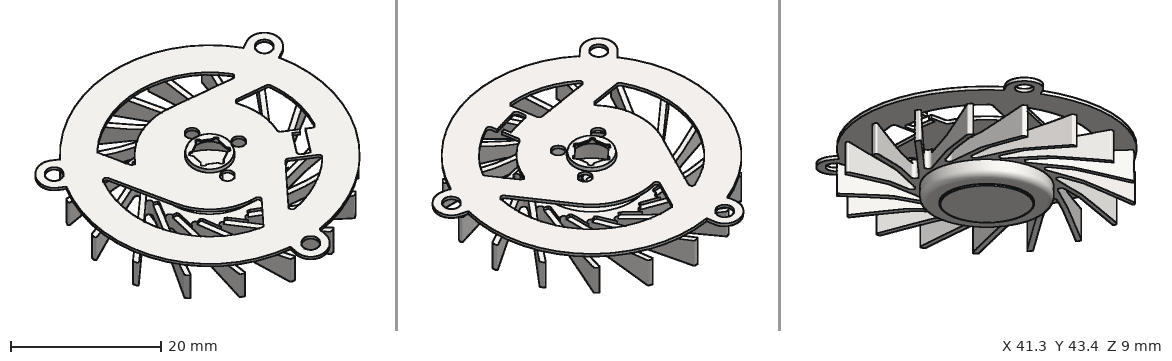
import cadquery as cq
import math

PLATE_RADIUS = 19.95
PLATE_BOTTOM = 7.9
PLATE_THICKNESS = 0.5
PLATE_TOP = PLATE_BOTTOM + PLATE_THICKNESS

EAR_CENTER_RADIUS = 20.98
EAR_RADIUS = 2.5
EAR_HOLE_RADIUS = 1.25
EAR_ANGLES = (90, 210, 330)

SLOT_OUTER_RADIUS = 15.0
DISC_RADIUS = 10.0
ARM_WIDTH = 3.47
ARM_INNER_OFFSET = DISC_RADIUS - ARM_WIDTH
ARM_ANGLE = 53
ARM_STEP = 120
SLOT_CORNER_RADIUS = 0.48

BRIDGE_ANGLE = 30
BRIDGE_WIDTH = 5.0
BRIDGE_BAR = 0.5
WINDOW_INNER = 11.45
WINDOW_OUTER = 13.35
WINDOW_CORNER_RADIUS = 0.48
GAP_INNER = 12.55

CAP_TOP = 9.0
CAP_BASE_RADIUS = 3.35
CAP_FACE_RADIUS = 3.2
CAP_POCKET_RADIUS = 2.82
CAP_FACE_THICKNESS = 0.3
HEX_APOTHEM = 2.2
HEX_RELIEF_CENTER_RADIUS = 2.4
HEX_RELIEF_RADIUS = 0.4
HEX_CORNER_ANGLES = range(30, 390, 60)

FIXING_HOLE_RADIUS = 1.0
FIXING_HOLE_CENTER_RADIUS = 4.5
FIXING_HOLE_ANGLES = (-38.4, 51.6, 141.6)

HUB_RADIUS = 8.9
HUB_INNER_RADIUS = 8.0
HUB_BOTTOM = 0.2
HUB_TOP = 5.35
HUB_FLOOR_TOP = 0.8
HUB_EDGE_RADIUS = 0.95
PAD_RADIUS = 6.35
PAD_CHAMFER = 0.17

BOSS_RADIUS = 1.75
BOSS_TOP = 4.35
BOSS_CHAMFER = 0.35
BOSS_RECESS_RADIUS = 1.17
BOSS_RECESS_FLOOR_RADIUS = 0.7
BOSS_RECESS_DEPTH = 0.48

BLADE_COUNT = 17
BLADE_STEP = 360 / BLADE_COUNT
BLADE_THICKNESS = 0.83
BLADE_INNER_FACE = HUB_RADIUS - BLADE_THICKNESS
BLADE_TIP_RADIUS = PLATE_RADIUS
BLADE_TIP_FILLET = 0.2
BLADE_MID_HEIGHT = 3.75
BLADE_ROOT_HEIGHT = 2.2
BLADE_TIP_HEIGHT = 4.47
BLADE_TAPER_START = 12.95
ROOT_FILLET_RADIUS = 0.5


def polar(radius, angle):
    """Point at a radius and an angle in degrees."""
    return (radius * math.cos(math.radians(angle)), radius * math.sin(math.radians(angle)))


def polar_points(radius, angles):
    return [polar(radius, angle) for angle in angles]


def make_ear(angle):
    """Round-ended lug that runs out from the ring, with square sides."""
    root_radius = SLOT_OUTER_RADIUS + EAR_RADIUS
    length = EAR_CENTER_RADIUS - root_radius
    arm = cq.Workplane("XY").center(root_radius + length / 2, 0).rect(length, 2 * EAR_RADIUS)
    end = cq.Workplane("XY").center(EAR_CENTER_RADIUS, 0).circle(EAR_RADIUS).extrude(PLATE_THICKNESS)
    ear = arm.extrude(PLATE_THICKNESS).union(end)
    return ear.rotate((0, 0, 0), (0, 0, 1), angle).translate((0, 0, PLATE_BOTTOM))


def make_slot(arm_angle):
    """Sharp-cornered slot from the tangent side of one arm round to the near side of the next."""
    next_arm_angle = arm_angle + ARM_STEP

    def arm_edge_angle(angle, offset, radius):
        """Polar angle at which an arm's edge line reaches a radius."""
        return angle + math.degrees(math.asin(offset / radius))

    tangent_angle = arm_angle + 90
    outer_start = arm_edge_angle(arm_angle, DISC_RADIUS, SLOT_OUTER_RADIUS)
    outer_end = arm_edge_angle(next_arm_angle, ARM_INNER_OFFSET, SLOT_OUTER_RADIUS)
    inner_end = arm_edge_angle(next_arm_angle, ARM_INNER_OFFSET, DISC_RADIUS)
    outer_middle = (outer_start + outer_end) / 2
    inner_middle = (tangent_angle + inner_end) / 2
    return (
        cq.Workplane("XY", origin=(0, 0, PLATE_BOTTOM))
        .moveTo(*polar(DISC_RADIUS, tangent_angle))
        .lineTo(*polar(SLOT_OUTER_RADIUS, outer_start))
        .threePointArc(polar(SLOT_OUTER_RADIUS, outer_middle), polar(SLOT_OUTER_RADIUS, outer_end))
        .lineTo(*polar(DISC_RADIUS, inner_end))
        .threePointArc(polar(DISC_RADIUS, inner_middle), polar(DISC_RADIUS, tangent_angle))
        .close()
        .extrude(PLATE_THICKNESS)
    )


def round_slot_corners(slot, arm_angle):
    """Round the upright corners, but not the edge where the arm runs smoothly into the disc."""
    tangent_x, tangent_y = polar(DISC_RADIUS, arm_angle + 90)

    def is_corner(edge):
        center = edge.Center()
        return math.hypot(center.x - tangent_x, center.y - tangent_y) > SLOT_CORNER_RADIUS

    return slot.edges("|Z").filter(is_corner).fillet(SLOT_CORNER_RADIUS)


def bridge_block(inner, outer, low, high):
    """Block as thick as the plate, in the frame that has the bridge along its first axis."""
    block = cq.Workplane("XY", origin=(0, 0, PLATE_BOTTOM)).moveTo(inner, low).lineTo(outer, low)
    return block.lineTo(outer, high).lineTo(inner, high).close().extrude(PLATE_THICKNESS)


def turn_to_bridge(body):
    return body.rotate((0, 0, 0), (0, 0, 1), BRIDGE_ANGLE)


def make_bridge():
    return turn_to_bridge(bridge_block(0, PLATE_RADIUS, -BRIDGE_WIDTH / 2, BRIDGE_WIDTH / 2))


def make_window():
    """Window inside the bridge, and the gap that opens it into the slot beside it."""
    half_width = BRIDGE_WIDTH / 2
    half_opening = half_width - BRIDGE_BAR
    window = bridge_block(WINDOW_INNER, WINDOW_OUTER, -half_opening, half_opening)
    window = window.edges("|Z and <Y").fillet(WINDOW_CORNER_RADIUS)
    gap = bridge_block(GAP_INNER, WINDOW_OUTER, 0, half_width)
    return turn_to_bridge(window.union(gap))


def make_cap():
    profile = [
        (0, PLATE_TOP),
        (CAP_BASE_RADIUS, PLATE_TOP),
        (CAP_FACE_RADIUS, CAP_TOP),
        (0, CAP_TOP),
    ]
    return cq.Workplane("XZ").polyline(profile).close().revolve(360, (0, 0), (0, 1))


def make_cap_pocket():
    """Round hollow under the cap, open at the bottom of the plate."""
    base = cq.Workplane("XY", origin=(0, 0, PLATE_BOTTOM)).circle(CAP_POCKET_RADIUS)
    return base.extrude(CAP_TOP - CAP_FACE_THICKNESS - PLATE_BOTTOM)


def make_hex_opening():
    corner_radius = HEX_APOTHEM / math.cos(math.radians(30))
    base = cq.Workplane("XY", origin=(0, 0, PLATE_BOTTOM))
    height = CAP_TOP - PLATE_BOTTOM
    opening = base.polyline(polar_points(corner_radius, HEX_CORNER_ANGLES)).close().extrude(height)
    reliefs = base.pushPoints(polar_points(HEX_RELIEF_CENTER_RADIUS, HEX_CORNER_ANGLES))
    return opening.union(reliefs.circle(HEX_RELIEF_RADIUS).extrude(height))


def make_holes(hole_radius, center_radius, angles):
    base = cq.Workplane("XY", origin=(0, 0, PLATE_BOTTOM)).pushPoints(polar_points(center_radius, angles))
    return base.circle(hole_radius).extrude(PLATE_THICKNESS)


def make_cover_plate():
    plate = cq.Workplane("XY", origin=(0, 0, PLATE_BOTTOM)).circle(PLATE_RADIUS).extrude(PLATE_THICKNESS)
    for angle in EAR_ANGLES:
        plate = plate.union(make_ear(angle))
    for angle in (ARM_ANGLE, ARM_ANGLE + ARM_STEP):
        plate = plate.cut(round_slot_corners(make_slot(angle), angle))
    bridged_angle = ARM_ANGLE - ARM_STEP
    bridged_slot = make_slot(bridged_angle).cut(make_bridge())
    plate = plate.cut(round_slot_corners(bridged_slot, bridged_angle))
    plate = plate.cut(make_window())
    plate = plate.union(make_cap())
    plate = plate.cut(make_cap_pocket()).cut(make_hex_opening())
    plate = plate.cut(make_holes(EAR_HOLE_RADIUS, EAR_CENTER_RADIUS, EAR_ANGLES))
    return plate.cut(make_holes(FIXING_HOLE_RADIUS, FIXING_HOLE_CENTER_RADIUS, FIXING_HOLE_ANGLES))


def make_hub():
    """Solid hub with a rounded bottom edge and a shallow pad beneath it."""
    hub = cq.Workplane("XY", origin=(0, 0, HUB_BOTTOM)).circle(HUB_RADIUS).extrude(HUB_TOP - HUB_BOTTOM)
    hub = hub.faces("<Z").edges().fillet(HUB_EDGE_RADIUS)
    pad = cq.Workplane("XY").circle(PAD_RADIUS).extrude(HUB_BOTTOM).faces("<Z").chamfer(PAD_CHAMFER)
    return hub.union(pad)


def make_boss():
    """Bevelled boss in the middle of the hub's cavity, with a conical recess in its top."""
    profile = [
        (0, HUB_BOTTOM),
        (BOSS_RADIUS, HUB_BOTTOM),
        (BOSS_RADIUS, BOSS_TOP - BOSS_CHAMFER),
        (BOSS_RADIUS - BOSS_CHAMFER, BOSS_TOP),
        (BOSS_RECESS_RADIUS, BOSS_TOP),
        (BOSS_RECESS_FLOOR_RADIUS, BOSS_TOP - BOSS_RECESS_DEPTH),
        (0, BOSS_TOP - BOSS_RECESS_DEPTH),
    ]
    return cq.Workplane("XZ").polyline(profile).close().revolve(360, (0, 0), (0, 1))


def make_blade_envelope():
    """Ring in which the blades lie: level near the hub, then flaring to the tips."""
    half_root = BLADE_ROOT_HEIGHT / 2
    half_tip = BLADE_TIP_HEIGHT / 2
    profile = [
        (HUB_INNER_RADIUS, BLADE_MID_HEIGHT - half_root),
        (BLADE_TAPER_START, BLADE_MID_HEIGHT - half_root),
        (BLADE_TIP_RADIUS, BLADE_MID_HEIGHT - half_tip),
        (BLADE_TIP_RADIUS, BLADE_MID_HEIGHT + half_tip),
        (BLADE_TAPER_START, BLADE_MID_HEIGHT + half_root),
        (HUB_INNER_RADIUS, BLADE_MID_HEIGHT + half_root),
    ]
    return cq.Workplane("XZ").polyline(profile).close().revolve(360, (0, 0), (0, 1))


def make_blade():
    """Straight blade along -X whose outer face is tangent to the hub."""
    middle_offset = (HUB_RADIUS + BLADE_INNER_FACE) / 2
    middle_angle = 180 - math.degrees(math.asin(middle_offset / BLADE_TIP_RADIUS))
    tip_outer = -math.sqrt(BLADE_TIP_RADIUS**2 - HUB_RADIUS**2)
    tip_inner = -math.sqrt(BLADE_TIP_RADIUS**2 - BLADE_INNER_FACE**2)
    blade = (
        cq.Workplane("XY", origin=(0, 0, BLADE_MID_HEIGHT - BLADE_TIP_HEIGHT / 2))
        .moveTo(0, HUB_RADIUS)
        .lineTo(tip_outer, HUB_RADIUS)
        .threePointArc(polar(BLADE_TIP_RADIUS, middle_angle), (tip_inner, BLADE_INNER_FACE))
        .lineTo(0, BLADE_INNER_FACE)
        .close()
        .extrude(BLADE_TIP_HEIGHT)
        .edges("|Z")
        .filter(lambda edge: edge.Center().x < tip_outer / 2)
        .fillet(BLADE_TIP_FILLET)
    )
    return blade.intersect(make_blade_envelope())


def make_web():
    """Wedge between a blade along -X and the next one, rounded at its open end and as high as the rim.

    Its sides are the first blade's inner face and the second blade's outer face, which meet at the
    apex. The rounding touches both sides at the same distance from the apex. Where it touches the
    second blade, a square shoulder runs across that blade at the same height.
    """
    step = math.radians(BLADE_STEP)
    apex_x = -(HUB_RADIUS - BLADE_INNER_FACE * math.cos(step)) / math.sin(step)
    reach = ROOT_FILLET_RADIUS / math.tan(step / 2)
    bottom_reach = ROOT_FILLET_RADIUS / math.sin(step / 2) - ROOT_FILLET_RADIUS

    def from_apex(distance, angle):
        x, y = polar(distance, 180 + angle)
        return (apex_x + x, BLADE_INNER_FACE + y)

    blade_bottom = BLADE_MID_HEIGHT - BLADE_ROOT_HEIGHT / 2
    touch_x, touch_y = from_apex(reach, BLADE_STEP)
    across_x, across_y = polar(BLADE_THICKNESS, BLADE_STEP - 90)
    shoulder_end = (touch_x + across_x, touch_y + across_y)
    return (
        cq.Workplane("XY", origin=(0, 0, blade_bottom))
        .moveTo(0, BLADE_INNER_FACE)
        .lineTo(*from_apex(reach, 0))
        .threePointArc(from_apex(bottom_reach, BLADE_STEP / 2), (touch_x, touch_y))
        .lineTo(*shoulder_end)
        .lineTo(*polar(BLADE_INNER_FACE, 90 + BLADE_STEP))
        .close()
        .extrude(HUB_TOP - blade_bottom)
    )


def make_impeller():
    """Hub with its ring of blades and webs, hollowed into a cup around the boss."""
    impeller = make_hub()
    blade_and_web = make_blade().union(make_web())
    for index in range(BLADE_COUNT):
        impeller = impeller.union(blade_and_web.rotate((0, 0, 0), (0, 0, 1), index * BLADE_STEP))
    cavity = cq.Workplane("XY", origin=(0, 0, HUB_FLOOR_TOP)).circle(HUB_INNER_RADIUS)
    return impeller.cut(cavity.extrude(HUB_TOP - HUB_FLOOR_TOP)).union(make_boss())


cover_plate = make_cover_plate()
impeller = make_impeller()
result = cq.Compound.makeCompound([cover_plate.val(), impeller.val()])